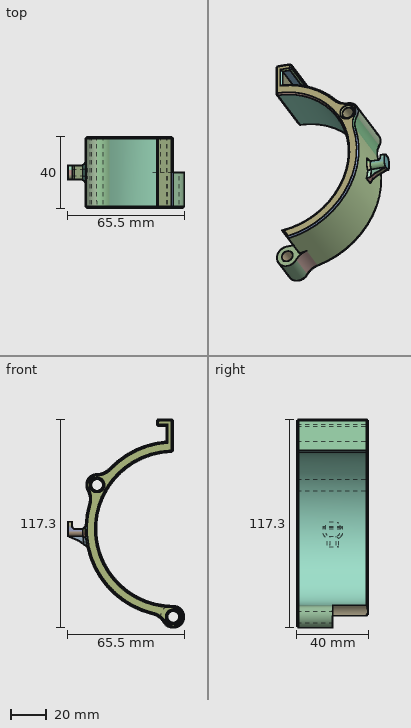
import cadquery as cq
import math

height = 117.3
width = 40.0
edge_chamfer = 1.0
overlap = 2.3

inner_radius = 43.2
eye_radius = 6.2
outer_radius = inner_radius + eye_radius
hole_diameter = 6.5
blend_radius = 10.0
upper_eye_angle = 150.0
lower_eye_angle = 270.0
notch_radius = 7.3

hook_top = height - outer_radius - eye_radius
hook_length = 9.4
hook_thickness = 4.0

peg_tip_x = -59.3
peg_width = 8.1
peg_corner_radius = 2.6
head_thickness = 2.5
head_chamfer = 1.0
root_chamfer = 1.5
rib_width = 3.4
rib_bend_x = -52.9
rib_bend_z = -6.8
rib_root_z = -11.0


def polar(radius, angle, center=(0.0, 0.0)):
    """Point in the XZ plane at a radius and an angle in degrees."""
    a = math.radians(angle)
    return (center[0] + radius * math.cos(a), center[1] + radius * math.sin(a))


def on_circle(radius, x):
    """Point on the upper half of a circle around the ring axis."""
    return (x, math.sqrt(radius**2 - x**2))


blend_reach = outer_radius + blend_radius
blend_gap = eye_radius + blend_radius
blend_half_angle = math.degrees(
    math.acos((outer_radius**2 + blend_reach**2 - blend_gap**2) / (2 * outer_radius * blend_reach))
)


def blend_points(eye_angle, side):
    """Ring end, middle and eye end of the blend arc; side is -1 or +1 around the eye."""
    direction = eye_angle + side * blend_half_angle
    center = polar(blend_reach, direction)
    eye = polar(outer_radius, eye_angle)
    to_eye = math.degrees(math.atan2(eye[1] - center[1], eye[0] - center[0]))
    to_ring = direction + 180
    turn = (to_eye - to_ring + 180) % 360 - 180
    return (
        polar(blend_radius, to_ring, center),
        polar(blend_radius, to_ring + turn / 2, center),
        polar(blend_radius, to_eye, center),
    )


def clamp_outline(with_lower_eye):
    """Closed outline of ring, hook and eyes, drawn in the XZ plane."""
    c = edge_chamfer
    hook_root = on_circle(outer_radius, -hook_thickness)
    above_in, above_mid, above_eye = blend_points(upper_eye_angle, -1)
    below_in, below_mid, below_eye = blend_points(upper_eye_angle, 1)
    upper_eye = polar(outer_radius, upper_eye_angle)
    upper_ring_middle = polar(outer_radius, (90 + upper_eye_angle) / 2)
    lower_ring_middle = polar(outer_radius, (upper_eye_angle + lower_eye_angle) / 2)

    outline = (
        cq.Workplane("XZ")
        .moveTo(*on_circle(inner_radius, -c))
        .lineTo(0, inner_radius + c)
        .lineTo(0, hook_top - c)
        .lineTo(-c, hook_top)
        .lineTo(-hook_length + c, hook_top)
        .lineTo(-hook_length, hook_top - c)
        .lineTo(-hook_length, hook_top - hook_thickness + c)
        .lineTo(-hook_length + c, hook_top - hook_thickness)
        .lineTo(-hook_thickness, hook_top - hook_thickness)
        .lineTo(*hook_root)
        .threePointArc(upper_ring_middle, above_in)
        .threePointArc(above_mid, above_eye)
        .threePointArc(polar(eye_radius, upper_eye_angle, upper_eye), below_eye)
        .threePointArc(below_mid, below_in)
    )
    if with_lower_eye:
        ring_end, blend_mid, eye_end = blend_points(lower_eye_angle, -1)
        eye_center = polar(outer_radius, lower_eye_angle)
        outline = (
            outline.threePointArc(lower_ring_middle, ring_end)
            .threePointArc(blend_mid, eye_end)
            .threePointArc(polar(eye_radius, 0, eye_center), (0, -inner_radius))
        )
    else:
        outline = outline.threePointArc(lower_ring_middle, (0, -outer_radius)).lineTo(0, -inner_radius)
    return outline.threePointArc((-inner_radius, 0), on_circle(inner_radius, -c)).close()


def eye_cylinder(eye_angle, radius, length):
    """Cylinder along an eye axis, from the middle plane toward -Y (or +Y if negative)."""
    return cq.Workplane("XZ").center(*polar(outer_radius, eye_angle)).circle(radius).extrude(length)


def front_half():
    half = clamp_outline(True).extrude(width / 2)
    for angle in (upper_eye_angle, lower_eye_angle):
        half = half.cut(eye_cylinder(angle, hole_diameter / 2, width / 2))
    return half.faces("<Y").chamfer(edge_chamfer)


def rear_half():
    half = clamp_outline(False).extrude(-width / 2)
    half = half.cut(eye_cylinder(upper_eye_angle, hole_diameter / 2, -width / 2))
    half = half.faces(">Y").chamfer(edge_chamfer)
    return half.cut(eye_cylinder(lower_eye_angle, notch_radius, -width / 2))


def peg():
    """Rounded bar whose upper half is cut away behind the head, with a rib below."""
    root_x = -outer_radius + overlap
    bar = (
        cq.Workplane("YZ", origin=(peg_tip_x, 0, 0))
        .rect(peg_width, peg_width)
        .extrude(root_x - peg_tip_x)
        .edges("|X")
        .fillet(peg_corner_radius)
    )
    head_back_x = peg_tip_x + head_thickness
    relief = (
        cq.Workplane("XZ")
        .moveTo(head_back_x, peg_width)
        .lineTo(head_back_x, head_chamfer)
        .lineTo(head_back_x + head_chamfer, 0)
        .lineTo(root_x, 0)
        .lineTo(root_x, peg_width)
        .close()
        .extrude(peg_width / 2, both=True)
    )
    rib = (
        cq.Workplane("XZ")
        .moveTo(peg_tip_x, -peg_width / 2)
        .lineTo(rib_bend_x, rib_bend_z)
        .lineTo(root_x, rib_root_z)
        .lineTo(root_x, 0)
        .lineTo(peg_tip_x, 0)
        .close()
        .extrude(rib_width / 2, both=True)
    )
    return bar.cut(relief).union(rib)


def root_edges():
    """Selector for the edges where the peg and the rib sides meet the ring."""
    near_surface = 1.2
    return cq.selectors.BoxSelector(
        (-outer_radius - near_surface, -peg_width, rib_root_z + 2 * near_surface),
        (-outer_radius + near_surface, peg_width, near_surface),
    )


clamp = front_half().union(rear_half())
result = clamp.union(peg()).edges(root_edges()).chamfer(root_chamfer)